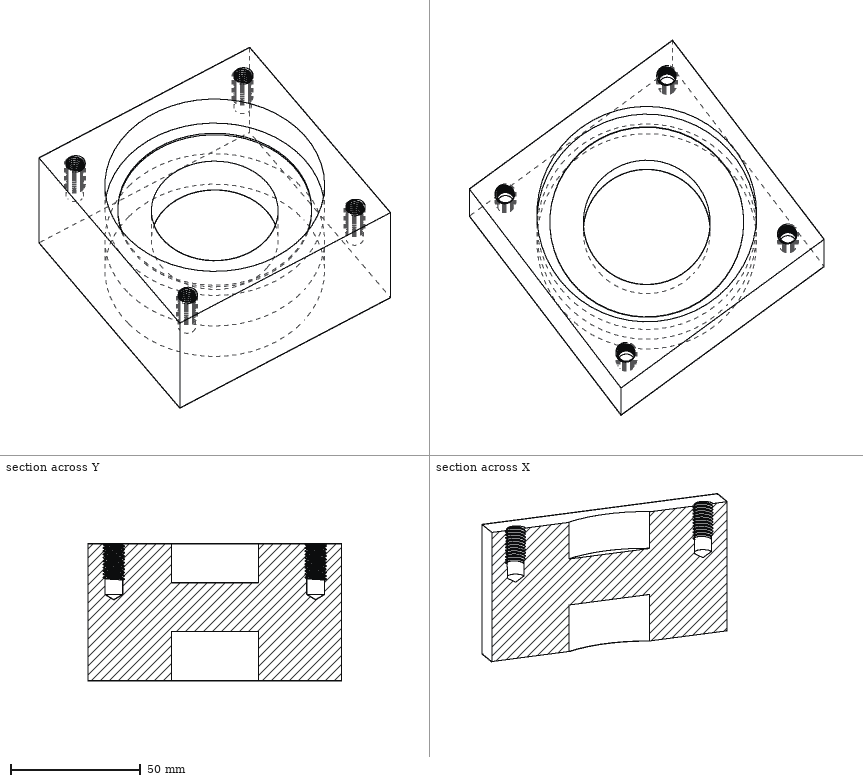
import cadquery as cq
import math

side = 98.0
height = 53.0

seat_diameter = 85.0
upper_seat_depth = 15.0
recess_diameter = 75.0
recess_depth = 1.0
bore_diameter = 49.0
lower_seat_depth = 19.0

hole_offset = 39.0
drill_diameter = 6.8
drill_depth = 19.6
drill_tip_angle = 118.0
thread_diameter = 8.1
thread_pitch = 1.3
thread_turns = 12
thread_start_angle = 90.0
groove_mouth = 1.0
groove_root = 0.1
groove_overlap = 0.1


def make_block():
    return cq.Workplane("XY").box(side, side, height, centered=(True, True, False))


def cylinder_down(diameter, top, depth):
    return cq.Workplane("XY").workplane(offset=top).circle(diameter / 2).extrude(-depth)


def make_stepped_bore():
    upper_seat = cylinder_down(seat_diameter, height, upper_seat_depth)
    recess = cylinder_down(recess_diameter, height, upper_seat_depth + recess_depth)
    bore = cylinder_down(bore_diameter, height, height)
    lower_seat = cylinder_down(seat_diameter, lower_seat_depth, lower_seat_depth)
    return upper_seat.union(recess).union(bore).union(lower_seat)


def make_drilled_hole():
    """Blind hole below Z = 0 with a conical drill tip."""
    radius = drill_diameter / 2
    tip_length = radius / math.tan(math.radians(drill_tip_angle / 2))
    return (
        cq.Workplane("XZ")
        .polyline([(0, 0), (radius, 0), (radius, -drill_depth), (0, -drill_depth - tip_length)])
        .close()
        .revolve(360, (0, 0), (0, 1))
    )


def make_thread_groove():
    """Right-hand helical V groove, starting one pitch above Z = 0 so that it runs out at the face."""
    inner = drill_diameter / 2 - groove_overlap
    outer = thread_diameter / 2
    length = thread_turns * thread_pitch
    path = cq.Wire.makeHelix(thread_pitch, length, inner)
    groove = (
        cq.Workplane("XZ")
        .polyline(
            [
                (inner, -groove_mouth / 2),
                (outer, -groove_root / 2),
                (outer, groove_root / 2),
                (inner, groove_mouth / 2),
            ]
        )
        .close()
        .sweep(cq.Workplane(obj=path), isFrenet=True)
    )
    groove = groove.translate((0, 0, thread_pitch - length))
    return groove.rotate((0, 0, 0), (0, 0, 1), thread_start_angle)


def cut_threaded_holes(body):
    """Cut each groove before its drilled hole, which then trims the crests cleanly."""
    drilled_hole = make_drilled_hole()
    thread_groove = make_thread_groove()
    for x in (-hole_offset, hole_offset):
        for y in (-hole_offset, hole_offset):
            body = body.cut(thread_groove.translate((x, y, height)))
            body = body.cut(drilled_hole.translate((x, y, height)))
    return body


result = cut_threaded_holes(make_block().cut(make_stepped_bore()))